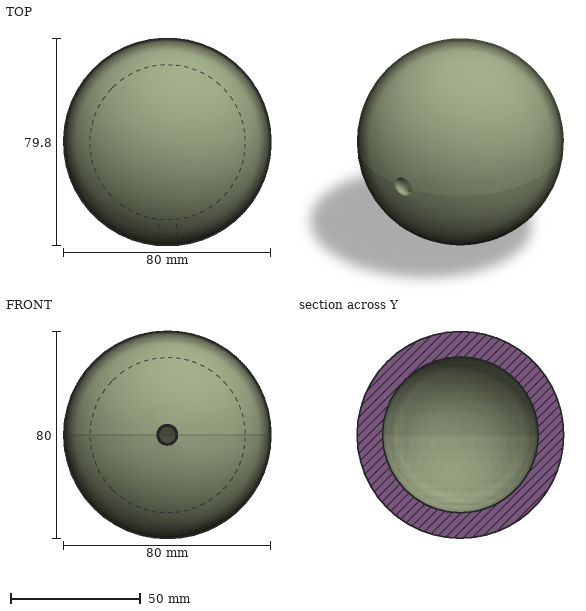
import cadquery as cq
import math

outer_radius = 40.0
wall = 10.0
cavity_radius = outer_radius - wall

hole_radius = 3.4
chamfer = 0.5
mouth_radius = hole_radius + chamfer

mouth_y = -math.sqrt(outer_radius**2 - mouth_radius**2)


def make_ball(radius):
    """Full ball made of two hemispheres, keeping the seam on its equator."""
    upper_half = cq.Workplane("XY").sphere(radius, angle1=0, angle2=90)
    lower_half = cq.Workplane("XY").sphere(radius, angle1=-90, angle2=0)
    return upper_half.union(lower_half, clean=False)


def make_hole_cutter():
    """Solid of revolution about Y: clearance outside the mouth, chamfer cone, then the bore."""
    half_profile = (
        cq.Workplane("XY")
        .moveTo(0, -outer_radius)
        .lineTo(mouth_radius, -outer_radius)
        .lineTo(mouth_radius, mouth_y)
        .lineTo(hole_radius, mouth_y + chamfer)
        .lineTo(hole_radius, 0)
        .lineTo(0, 0)
        .close()
    )
    return half_profile.revolve(360, (0, 0, 0), (0, 1, 0))


hollow_ball = make_ball(outer_radius).cut(make_ball(cavity_radius), clean=False)
result = hollow_ball.cut(make_hole_cutter(), clean=False).solids()